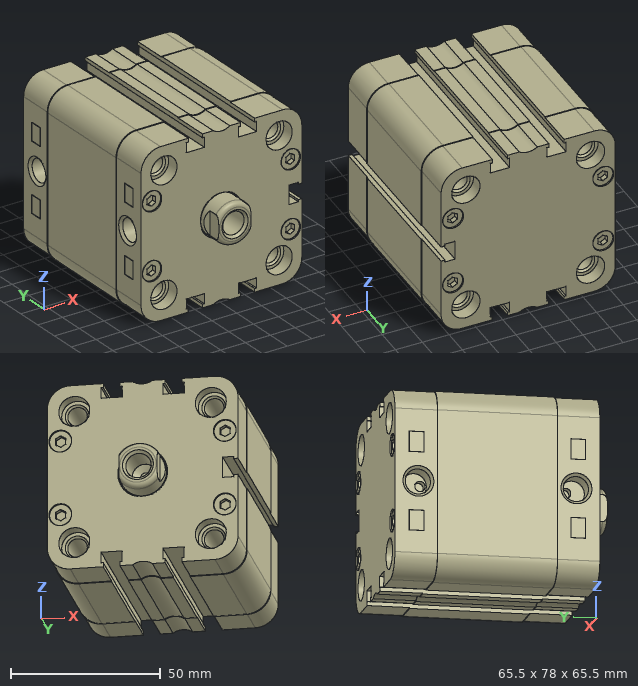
import cadquery as cq
import math

TUBE_SIDE = 65.5
CAP_SIDE = 65.0
HOUSING_LENGTH = 70.0
CAP_LENGTH = 14.5
TUBE_LENGTH = HOUSING_LENGTH - 2 * CAP_LENGTH
CORNER_CENTRE = 24.65

SLOT_OFFSET = 10.5
SLOT_MOUTH_WIDTH = 5.7
SLOT_WIDTH = 7.2
SLOT_FLOOR = 27.3
SLOT_LIP = 31.05

GROOVE_RADIUS = 6.0
GROOVE_DEPTH = 1.0

MOUNT_OFFSET = 23.25
MOUNT_DIAMETER = 6.6
MOUNT_CHAMFER_DIAMETER = 8.0
MOUNT_COUNTERBORE_DIAMETER = 10.5
MOUNT_COUNTERBORE_DEPTH = 5.0

SCREW_X = 28.0
SCREW_Z = 13.0
SCREW_RECESS_DIAMETER = 7.7
SCREW_HEAD_DIAMETER = 7.5
SCREW_RECESS_DEPTH = 0.5
SCREW_HEX_FLATS = 3.5
SCREW_HEX_DEPTH = 1.95

PORT_INSET = 8.0
PORT_DIAMETER = 8.6
PORT_MOUTH_DIAMETER = 10.5
PORT_DEPTH = 7.8
AIRWAY_DIAMETER = 3.5
AIRWAY_INSET = 10.15
AIRWAY_DEPTH = 3.1

LABEL_LENGTH = 5.0
LABEL_HEIGHT = 6.95
LABEL_DEPTH = 0.15
LABEL_INSET = 7.4
LABEL_OFFSET = 13.5

ROD_DIAMETER = 16.0
ROD_PROJECTION = 8.0
ROD_SEAT_DEPTH = CAP_LENGTH
ROD_EDGE_RADIUS = 1.8
ROD_CLEARANCE_DIAMETER = 16.85
ROD_CLEARANCE_DEPTH = 0.8
ROD_FLATS = 13.0
ROD_FLATS_START = 2.7
ROD_BORE_DIAMETER = 8.6
ROD_BORE_MOUTH_DIAMETER = 10.5
ROD_BORE_DEPTH = 12.0
ROD_BORE_TIP_DIAMETER = 3.5
ROD_BORE_TIP_ANGLE = 118

CUTTER_OVERSHOOT = 0.8

ROD_TIP_Y = -(HOUSING_LENGTH + ROD_PROJECTION) / 2
FRONT_Y = ROD_TIP_Y + ROD_PROJECTION
BACK_Y = FRONT_Y + HOUSING_LENGTH
ENDS = ((FRONT_Y, 1), (BACK_Y, -1))


def section(y):
    """Work plane whose local axes are X and Z, with its normal along +Y."""
    return cq.Workplane(cq.Plane(origin=(0, y, 0), xDir=(1, 0, 0), normal=(0, -1, 0)))


def disc(x, z, y, diameter, length):
    """Cylinder along Y from y; a negative length runs toward -Y."""
    return section(y).center(x, z).circle(diameter / 2).extrude(-length)


def cone(origin, direction, start_diameter, end_diameter, length):
    """Solid cone frustum from origin along direction."""
    return cq.Workplane(cq.Solid.makeCone(start_diameter / 2, end_diameter / 2, length, origin, direction))


def rounded_block(side, y, length):
    """Square block along Y with rounded long edges."""
    return section(y).rect(side, side).extrude(-length).edges("|Y").fillet(side / 2 - CORNER_CENTRE)


def grooved_block(side, y, length):
    """Rounded block with a shallow round groove along its top and its bottom."""
    block = rounded_block(side, y, length)
    groove_z = side / 2 - GROOVE_DEPTH + GROOVE_RADIUS
    for direction in (-1, 1):
        block = block.cut(disc(0, direction * groove_z, y, 2 * GROOVE_RADIUS, length))
    return block


def t_slot(offset, turn):
    """T-slot in the +Z side at X = offset, turned about the Y axis."""
    outside = TUBE_SIDE / 2 + CUTTER_OVERSHOOT
    undercut = section(FRONT_Y).center(offset, (SLOT_FLOOR + SLOT_LIP) / 2)
    undercut = undercut.rect(SLOT_WIDTH, SLOT_LIP - SLOT_FLOOR).extrude(-HOUSING_LENGTH)
    mouth = section(FRONT_Y).center(offset, (SLOT_FLOOR + outside) / 2)
    mouth = mouth.rect(SLOT_MOUTH_WIDTH, outside - SLOT_FLOOR).extrude(-HOUSING_LENGTH)
    return undercut.union(mouth).rotate((0, 0, 0), (0, 1, 0), turn)


def mounting_hole(x, z):
    chamfer = (MOUNT_CHAMFER_DIAMETER - MOUNT_DIAMETER) / 2
    hole = disc(x, z, FRONT_Y, MOUNT_DIAMETER, HOUSING_LENGTH)
    for y, inward in ENDS:
        floor_y = y + inward * MOUNT_COUNTERBORE_DEPTH
        hole = hole.union(disc(x, z, y, MOUNT_COUNTERBORE_DIAMETER, inward * MOUNT_COUNTERBORE_DEPTH))
        hole = hole.union(
            cone((x, floor_y, z), (0, inward, 0), MOUNT_CHAMFER_DIAMETER, MOUNT_DIAMETER, chamfer)
        )
    return hole


def screw_head_cut(x, z, y, inward):
    """Shallow tapered recess down to a screw head, with the head's hexagon socket."""
    recess = cone((x, y, z), (0, inward, 0), SCREW_RECESS_DIAMETER, SCREW_HEAD_DIAMETER, SCREW_RECESS_DEPTH)
    hex_corners = SCREW_HEX_FLATS / math.cos(math.pi / 6)
    socket = section(y).center(x, z).transformed(rotate=(0, 0, 90)).polygon(6, hex_corners)
    return recess.union(socket.extrude(-inward * (SCREW_RECESS_DEPTH + SCREW_HEX_DEPTH)))


def air_port(y, inward):
    """Chamfered port with a flat floor and a small off-centre airway."""
    face_x = -CAP_SIDE / 2
    port_y = y + inward * PORT_INSET
    mouth_depth = (PORT_MOUTH_DIAMETER - PORT_DIAMETER) / 2
    mouth = cone((face_x, port_y, 0), (1, 0, 0), PORT_MOUTH_DIAMETER, PORT_DIAMETER, mouth_depth)
    side = cq.Workplane("YZ", origin=(face_x, 0, 0))
    bore = side.center(port_y, 0).circle(PORT_DIAMETER / 2).extrude(PORT_DEPTH)
    airway = side.center(y + inward * AIRWAY_INSET, 0).circle(AIRWAY_DIAMETER / 2)
    return mouth.union(bore).union(airway.extrude(PORT_DEPTH + AIRWAY_DEPTH))


def label_pockets(y, inward):
    """Pair of shallow rectangular pockets in the -X side."""
    side = cq.Workplane("YZ", origin=(-CAP_SIDE / 2, y + inward * LABEL_INSET, 0))
    places = side.pushPoints([(0, LABEL_OFFSET), (0, -LABEL_OFFSET)])
    return places.rect(LABEL_LENGTH, LABEL_HEIGHT).extrude(LABEL_DEPTH)


def make_housing():
    tube_y = FRONT_Y + CAP_LENGTH
    body = grooved_block(TUBE_SIDE, tube_y, TUBE_LENGTH)
    for cap_y in (FRONT_Y, tube_y + TUBE_LENGTH):
        body = body.union(grooved_block(CAP_SIDE, cap_y, CAP_LENGTH))

    for offset, turn in (
        (-SLOT_OFFSET, 0),
        (SLOT_OFFSET, 0),
        (-SLOT_OFFSET, 180),
        (SLOT_OFFSET, 180),
        (0, 90),
    ):
        body = body.cut(t_slot(offset, turn))

    for side_x in (-1, 1):
        for side_z in (-1, 1):
            body = body.cut(mounting_hole(side_x * MOUNT_OFFSET, side_z * MOUNT_OFFSET))
            for y, inward in ENDS:
                body = body.cut(screw_head_cut(side_x * SCREW_X, side_z * SCREW_Z, y, inward))

    for y, inward in ENDS:
        body = body.cut(air_port(y, inward))
        body = body.cut(label_pockets(y, inward))

    body = body.cut(disc(0, 0, FRONT_Y, ROD_DIAMETER, ROD_SEAT_DEPTH))
    return body.cut(disc(0, 0, FRONT_Y, ROD_CLEARANCE_DIAMETER, ROD_CLEARANCE_DEPTH))


def rod_flat(side):
    """Cutter for one wrench flat, with a 45 degree run-out toward the housing."""
    flat_x = ROD_FLATS / 2
    outside = ROD_DIAMETER / 2 + CUTTER_OVERSHOOT
    start_y = FRONT_Y - ROD_FLATS_START
    profile = cq.Workplane("XY", origin=(0, 0, -outside)).polyline(
        [
            (side * flat_x, ROD_TIP_Y),
            (side * outside, ROD_TIP_Y),
            (side * outside, start_y + outside - flat_x),
            (side * flat_x, start_y),
        ]
    )
    return profile.close().extrude(2 * outside)


def make_rod():
    rod = disc(0, 0, ROD_TIP_Y, ROD_DIAMETER, ROD_PROJECTION + ROD_SEAT_DEPTH)
    rod = rod.faces("<Y").edges().fillet(ROD_EDGE_RADIUS)
    for side in (-1, 1):
        rod = rod.cut(rod_flat(side))

    mouth_depth = (ROD_BORE_MOUTH_DIAMETER - ROD_BORE_DIAMETER) / 2
    half_angle = math.radians(ROD_BORE_TIP_ANGLE / 2)
    tip_depth = (ROD_BORE_DIAMETER - ROD_BORE_TIP_DIAMETER) / 2 / math.tan(half_angle)
    inward = (0, 1, 0)
    rod = rod.cut(disc(0, 0, ROD_TIP_Y, ROD_BORE_DIAMETER, ROD_BORE_DEPTH))
    rod = rod.cut(cone((0, ROD_TIP_Y, 0), inward, ROD_BORE_MOUTH_DIAMETER, ROD_BORE_DIAMETER, mouth_depth))
    tip_start = (0, ROD_TIP_Y + ROD_BORE_DEPTH, 0)
    return rod.cut(cone(tip_start, inward, ROD_BORE_DIAMETER, ROD_BORE_TIP_DIAMETER, tip_depth))


housing = make_housing()
rod = make_rod()

result = cq.Compound.makeCompound([housing.val(), rod.val()])